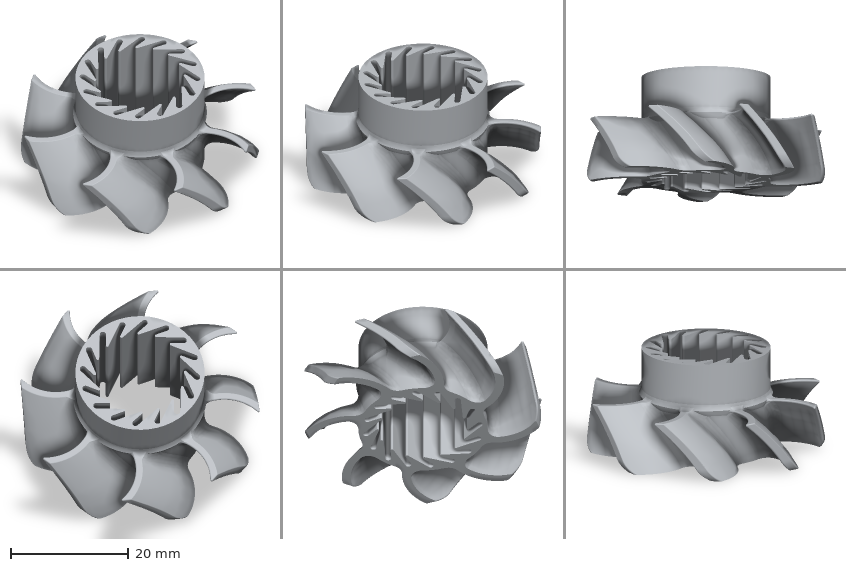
import cadquery as cq
import math

TOLERANCE = 0.01

HUB_RADIUS = 22.01 / 2
HUB_HEIGHT = 18.0
FLARE_RISE = 1.0
FLARE_WIDTH = 0.4
FLARE_SAG = 0.35

SLOT_COUNT = 16
SLOT_WIDTH = 1.06
SLOT_OFFSET = 6.47
SLOT_END = 7.3
TOOTH_TIP_RADIUS = 0.25

BLADE_COUNT = 8
BLADE_ANGLE = -15.0
BLADE_HEIGHT = 10.0
BLADE_END = 19.92
BLADE_START = 7.0
CURVE_CENTER_X = 10.6
CURVE_CENTER_Y = 13.3
CONCAVE_RADIUS = 8.0
CONVEX_RADIUS = 9.5
TOP_LEAN = 1.22
FOOT_LEAN = 0.58
SECTION_COUNT = 5
FOOT_ROUND_HEIGHT = 2.15
FOOT_ROUND_INSET = 1.0
EDGE_RADIUS = 0.2
ROOT_RADIUS = 1.8
ROOT_TOP_RADIUS = 1.0


def blade_shift(drop):
    """Sideways travel of the blade section at a given drop below its top."""
    return TOP_LEAN * drop - (TOP_LEAN - FOOT_LEAN) * drop**2 / (2 * BLADE_HEIGHT)


def arc_point(radius, y, shift):
    """Point at height y on the left side of a blade section arc."""
    reach = math.sqrt(radius**2 - (y - CURVE_CENTER_Y) ** 2)
    return (CURVE_CENTER_X - shift - reach, y)


def blade_section(z):
    """Curved blade section at height z, moved sideways by the blade's lean."""
    shift = blade_shift(BLADE_HEIGHT - z)
    return (
        cq.Workplane("XY", origin=(0, 0, z))
        .moveTo(*arc_point(CONCAVE_RADIUS, BLADE_START, shift))
        .threePointArc(
            arc_point(CONCAVE_RADIUS, CURVE_CENTER_Y, shift),
            arc_point(CONCAVE_RADIUS, BLADE_END, shift),
        )
        .lineTo(*arc_point(CONVEX_RADIUS, BLADE_END, shift))
        .threePointArc(
            arc_point(CONVEX_RADIUS, CURVE_CENTER_Y, shift),
            arc_point(CONVEX_RADIUS, BLADE_START, shift),
        )
        .close()
        .wire()
        .val()
    )


def make_foot_cutter():
    """Bar that rounds the outer bottom corner of a blade."""
    radius = (FOOT_ROUND_HEIGHT**2 + FOOT_ROUND_INSET**2) / (2 * FOOT_ROUND_INSET)
    middle_z = FOOT_ROUND_HEIGHT / 2
    middle_inset = radius - math.sqrt(radius**2 - middle_z**2)
    return (
        cq.Workplane("YZ")
        .moveTo(BLADE_END - FOOT_ROUND_INSET, 0)
        .threePointArc((BLADE_END - middle_inset, middle_z), (BLADE_END, FOOT_ROUND_HEIGHT))
        .lineTo(BLADE_END + FOOT_ROUND_INSET, FOOT_ROUND_HEIGHT)
        .lineTo(BLADE_END + FOOT_ROUND_INSET, 0)
        .close()
        .extrude(BLADE_END, both=True)
    )


def make_blade():
    step = BLADE_HEIGHT / (SECTION_COUNT - 1)
    sections = [blade_section(i * step) for i in range(SECTION_COUNT)]
    blade = cq.Workplane(cq.Solid.makeLoft(sections)).cut(make_foot_cutter())
    exposed = cq.selectors.BoxSelector(
        (-2 * BLADE_END, HUB_RADIUS, EDGE_RADIUS),
        (2 * BLADE_END, 2 * BLADE_END, 2 * BLADE_HEIGHT),
    )
    return blade.faces(">Z or >Y").edges().edges(exposed).fillet(EDGE_RADIUS)


def make_root_envelope():
    """Space the blades may fill: flat on top, curving up to meet the hub."""
    outer = 2 * BLADE_END
    curve_start = HUB_RADIUS + ROOT_TOP_RADIUS
    sag = ROOT_TOP_RADIUS * (1 - math.sqrt(0.5))
    return (
        cq.Workplane("XZ")
        .lineTo(outer, 0)
        .lineTo(outer, BLADE_HEIGHT)
        .lineTo(curve_start, BLADE_HEIGHT)
        .threePointArc(
            (HUB_RADIUS + sag, BLADE_HEIGHT + sag),
            (HUB_RADIUS, BLADE_HEIGHT + ROOT_TOP_RADIUS),
        )
        .lineTo(0, BLADE_HEIGHT + ROOT_TOP_RADIUS)
        .close()
        .revolve(360, (0, 0, 0), (0, 1, 0))
    )


def is_root_edge(edge):
    """True for an edge where the blade meets the hub's outer cylinder."""
    points = [edge.positionAt(t) for t in (0, 0.5, 1)]
    on_hub = all(math.isclose(math.hypot(p.x, p.y), HUB_RADIUS, abs_tol=TOLERANCE) for p in points)
    center = edge.Center()
    return on_hub and center.y > 0 and 0 < center.z < BLADE_HEIGHT + EDGE_RADIUS


def make_rooted_blade():
    """One blade with its root fillets, cut off at the hub's surface."""
    hub = cq.Workplane("XY").circle(HUB_RADIUS).extrude(HUB_HEIGHT).rotate((0, 0, 0), (0, 0, 1), -90)
    joined = hub.union(make_blade())
    root_edges = [edge for edge in joined.edges().vals() if is_root_edge(edge)]
    filleted = joined.newObject(root_edges).fillet(ROOT_RADIUS)
    return filleted.cut(hub).intersect(make_root_envelope())


def make_hub():
    """Plain cylinder with a concave flare that ends level with the blade tops."""
    flare_top = BLADE_HEIGHT + FLARE_RISE
    flare_middle = (HUB_RADIUS + FLARE_SAG * FLARE_WIDTH, BLADE_HEIGHT + FLARE_RISE / 2)
    return (
        cq.Workplane("XZ")
        .lineTo(HUB_RADIUS, 0)
        .lineTo(HUB_RADIUS, BLADE_HEIGHT - FLARE_RISE)
        .lineTo(HUB_RADIUS + FLARE_WIDTH, BLADE_HEIGHT)
        .threePointArc(flare_middle, (HUB_RADIUS, flare_top))
        .lineTo(HUB_RADIUS, HUB_HEIGHT)
        .lineTo(0, HUB_HEIGHT)
        .close()
        .revolve(360, (0, 0, 0), (0, 1, 0))
    )


def turned_point(x, y, angle):
    """Point (x, y) turned clockwise about the hub axis by an angle in radians."""
    return (
        x * math.cos(angle) + y * math.sin(angle),
        y * math.cos(angle) - x * math.sin(angle),
    )


def make_bore():
    """Through cutter: all slots plus the core they surround."""
    end_radius = SLOT_WIDTH / 2
    pitch = 2 * math.pi / SLOT_COUNT
    upper = SLOT_OFFSET + end_radius
    lower = SLOT_OFFSET - end_radius
    tip_x = (upper * math.cos(pitch) - lower) / math.sin(pitch)

    outline = cq.Workplane("XY").moveTo(tip_x, upper)
    for i in range(SLOT_COUNT):
        angle = i * pitch
        outline = (
            outline.lineTo(*turned_point(SLOT_END, upper, angle))
            .threePointArc(
                turned_point(SLOT_END + end_radius, SLOT_OFFSET, angle),
                turned_point(SLOT_END, lower, angle),
            )
            .lineTo(*turned_point(tip_x, upper, angle + pitch))
        )
    cutter = outline.close().extrude(HUB_HEIGHT)

    tip_distance = math.hypot(tip_x, upper)
    tips = [
        edge
        for edge in cutter.edges("|Z").vals()
        if math.isclose(math.hypot(edge.Center().x, edge.Center().y), tip_distance, abs_tol=TOLERANCE)
    ]
    return cutter.newObject(tips).fillet(TOOTH_TIP_RADIUS)


rooted_blade = make_rooted_blade().val()
blades = []
for i in range(BLADE_COUNT):
    angle = BLADE_ANGLE + i * 360 / BLADE_COUNT
    blades.append(rooted_blade.rotate((0, 0, 0), (0, 0, 1), angle))
hub_with_blades = cq.Workplane(make_hub().val().fuse(*blades))
result = hub_with_blades.cut(make_bore()).solids()